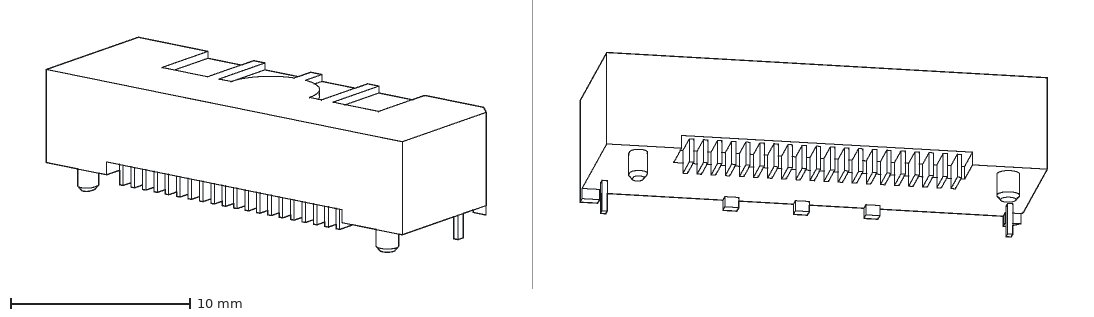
import cadquery as cq

LENGTH = 25.0
DEPTH = 8.5
HEIGHT = 5.4
CORNER_CHAMFER = 0.75

CONTACT_COUNT = 20
CONTACT_PITCH = 0.8
CONTACT_WIDTH = 0.25
CONTACT_FRONT_Y = 0.5
CONTACT_LENGTH = 2.02
CONTACT_BACK_Y = CONTACT_FRONT_Y + CONTACT_LENGTH
CONTACT_ROW_SPAN = (CONTACT_COUNT - 1) * CONTACT_PITCH
RECESS_LENGTH = 16.5
RECESS_HEIGHT = 0.75

POCKET_COUNT = 4
POCKET_PITCH = 5 * CONTACT_PITCH
RIB_WIDTH = CONTACT_PITCH
POCKET_WIDTH = POCKET_PITCH - RIB_WIDTH
POCKET_LENGTH = DEPTH / 2
POCKET_DEPTH = 0.4
ISLAND_RADIUS = 2.75

FOOT_HEIGHT = 0.6
FOOT_DEPTH = 0.65
END_FOOT_LENGTH = 1.0
RIB_FOOT_CENTRES = [-POCKET_PITCH, 0, POCKET_PITCH]

PEG_OFFSET = 10.5
PEG_Y = 1.25
PEG_DIAMETER = 1.28
PEG_LENGTH = 1.5
PEG_TIP_HEIGHT = 0.25
PEG_TIP_INSET = 0.2
SLOT_PEG_FLAT = 0.3
SLOT_PEG_WIDTH = 1.0

BLADE_OFFSET = 11.5
BLADE_THICKNESS = 0.3
BLADE_WIDTH = 0.5
BLADE_Y = 6.5
BLADE_LENGTH = 1.8


def box(x_min, y_min, z_min, length, depth, height):
    """Axis-aligned box placed by its lowest corner."""
    return cq.Workplane("XY").box(length, depth, height, centered=False).translate((x_min, y_min, z_min))


def make_block():
    """Main block with its feet; the chamfered corner cuts through block and foot alike."""
    block = box(-LENGTH / 2, 0, 0, LENGTH, DEPTH, HEIGHT)
    foot_y = DEPTH - FOOT_DEPTH
    for x_min in (-LENGTH / 2, LENGTH / 2 - END_FOOT_LENGTH):
        block = block.union(box(x_min, foot_y, -FOOT_HEIGHT, END_FOOT_LENGTH, FOOT_DEPTH, FOOT_HEIGHT))
    for centre in RIB_FOOT_CENTRES:
        x_min = centre - RIB_WIDTH / 2
        block = block.union(box(x_min, foot_y, -FOOT_HEIGHT, RIB_WIDTH, FOOT_DEPTH, FOOT_HEIGHT))
    corner = (
        cq.Workplane("XY", origin=(LENGTH / 2, DEPTH, -FOOT_HEIGHT))
        .polyline([(0, 0), (-CORNER_CHAMFER, 0), (0, -CORNER_CHAMFER)])
        .close()
        .extrude(HEIGHT + FOOT_HEIGHT)
    )
    return block.cut(corner)


def make_top_pockets():
    """Material removed from the top: a row of pockets around a round island."""
    pockets = cq.Workplane("XY")
    floor_z = HEIGHT - POCKET_DEPTH
    front_y = DEPTH - POCKET_LENGTH
    for index in range(POCKET_COUNT):
        centre = (index - (POCKET_COUNT - 1) / 2) * POCKET_PITCH
        x_min = centre - POCKET_WIDTH / 2
        pockets = pockets.add(box(x_min, front_y, floor_z, POCKET_WIDTH, POCKET_LENGTH, POCKET_DEPTH))
    island = (
        cq.Workplane("XY", origin=(0, front_y, floor_z))
        .circle(ISLAND_RADIUS)
        .extrude(POCKET_DEPTH)
    )
    return pockets.combine().cut(island)


def make_contacts():
    """Contact tails hanging from the recess ceiling."""
    contacts = cq.Workplane("XY")
    tail_height = FOOT_HEIGHT + RECESS_HEIGHT
    for index in range(CONTACT_COUNT):
        x_min = -CONTACT_ROW_SPAN / 2 + index * CONTACT_PITCH - CONTACT_WIDTH / 2
        tail = box(x_min, CONTACT_FRONT_Y, -FOOT_HEIGHT, CONTACT_WIDTH, CONTACT_LENGTH, tail_height)
        contacts = contacts.add(tail)
    return contacts.combine()


def make_pegs():
    """Round and slot-shaped pegs, both with a chamfered tip."""
    round_peg = (
        cq.Workplane("XY", origin=(PEG_OFFSET, PEG_Y, 0))
        .circle(PEG_DIAMETER / 2)
        .extrude(-PEG_LENGTH)
    )
    slot_peg = (
        cq.Workplane("XY", origin=(-PEG_OFFSET, PEG_Y, 0))
        .slot2D(SLOT_PEG_WIDTH + SLOT_PEG_FLAT, SLOT_PEG_WIDTH, 90)
        .extrude(-PEG_LENGTH)
    )
    return [peg.faces("<Z").chamfer(PEG_TIP_HEIGHT, PEG_TIP_INSET) for peg in (round_peg, slot_peg)]


def make_housing():
    """Block with its pockets and contact recess, joined to its contact tails and pegs."""
    recess_x = -RECESS_LENGTH / 2
    recess = box(recess_x, 0, 0, RECESS_LENGTH, CONTACT_BACK_Y, RECESS_HEIGHT)
    housing = make_block().cut(make_top_pockets()).cut(recess).union(make_contacts())
    for peg in make_pegs():
        housing = housing.union(peg)
    return housing


def make_blade(side):
    """Flat solder blade under the housing; side is -1 for left and +1 for right."""
    x_min = side * BLADE_OFFSET - BLADE_THICKNESS / 2
    y_min = BLADE_Y - BLADE_WIDTH / 2
    return box(x_min, y_min, -BLADE_LENGTH, BLADE_THICKNESS, BLADE_WIDTH, BLADE_LENGTH)


housing = make_housing()
blades = [make_blade(side) for side in (-1, 1)]

result = cq.Compound.makeCompound([housing.val(), *[blade.val() for blade in blades]])